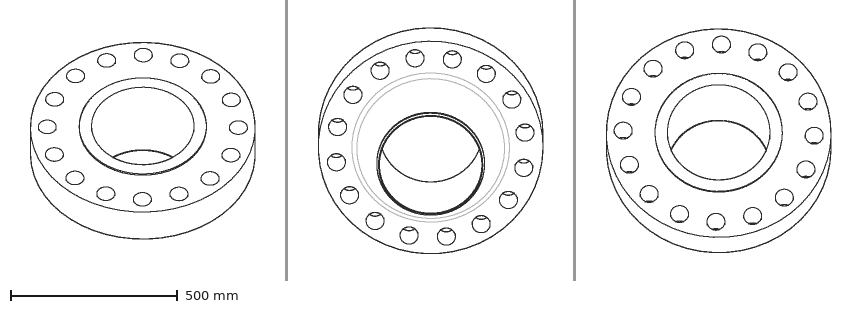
import cadquery as cq
import math

flange_diameter = 673.0
total_height = 289.0
flange_thickness = 124.0

face_diameter = 381.0
face_height = 6.0

bore_diameter = 307.0

bolt_count = 16
bolt_circle_diameter = 572.0
bolt_hole_diameter = 54.0

hub_top_diameter = 451.0
hub_fillet_radius = 16.0
weld_diameter = 323.0
weld_height = 13.5
bevel_height = 5.5
bevel_width = 5.5

flange_top = total_height - face_height
flange_bottom = flange_top - flange_thickness


def make_body():
    """Revolve the outer profile: weld end, tapered hub, flange and raised face."""
    weld_radius = weld_diameter / 2
    hub_radius = hub_top_diameter / 2
    taper_run = hub_radius - weld_radius
    taper_rise = flange_bottom - weld_height
    taper_angle = math.atan2(taper_rise, taper_run)

    tangent_length = hub_fillet_radius * math.tan(taper_angle / 2)
    fillet_start = (
        hub_radius - tangent_length * math.cos(taper_angle),
        flange_bottom - tangent_length * math.sin(taper_angle),
    )
    fillet_end = (hub_radius + tangent_length, flange_bottom)

    return (
        cq.Workplane("XZ")
        .lineTo(weld_radius - bevel_width, 0)
        .lineTo(weld_radius, bevel_height)
        .lineTo(weld_radius, weld_height)
        .lineTo(*fillet_start)
        .tangentArcPoint(fillet_end, relative=False)
        .lineTo(flange_diameter / 2, flange_bottom)
        .lineTo(flange_diameter / 2, flange_top)
        .lineTo(face_diameter / 2, flange_top)
        .lineTo(face_diameter / 2, total_height)
        .lineTo(0, total_height)
        .close()
        .revolve(360, (0, 0, 0), (0, 1, 0))
    )


def make_bore():
    return cq.Workplane("XY").circle(bore_diameter / 2).extrude(total_height)


def make_bolt_holes():
    """Cylinders through the flange, evenly spaced from the +X axis."""
    return (
        cq.Workplane("XY", origin=(0, 0, flange_bottom))
        .polarArray(bolt_circle_diameter / 2, 0, 360, bolt_count)
        .circle(bolt_hole_diameter / 2)
        .extrude(flange_thickness)
    )


result = make_body().cut(make_bore()).cut(make_bolt_holes())